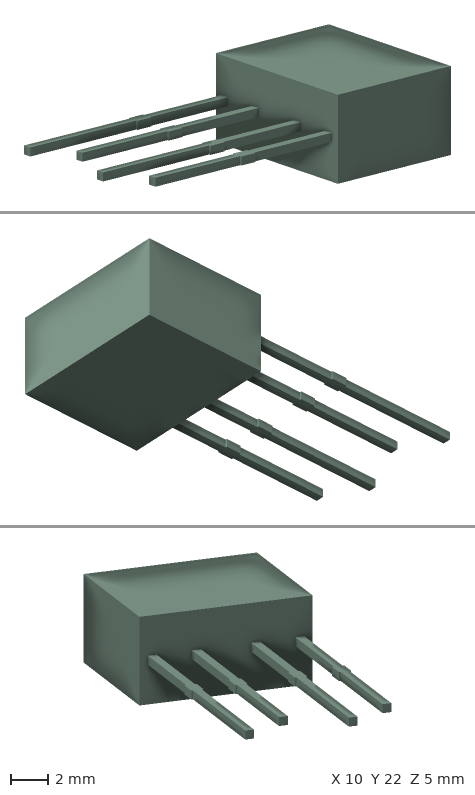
import cadquery as cq

body_width = 10.0
body_depth = 8.0
body_height = 5.0

pin_size = 0.5
long_pin_length = 14.0
short_pin_length = 12.5
inner_pin_offset = 1.72
outer_pin_offset = 4.27

stop_width = 0.7
stop_length = 1.0
stop_distance = 5.5

pins = [
    (-outer_pin_offset, long_pin_length),
    (-inner_pin_offset, short_pin_length),
    (inner_pin_offset, long_pin_length),
    (outer_pin_offset, short_pin_length),
]


def forward_bar(x, start, width, length):
    """Bar of pin thickness running toward -Y, starting a given distance ahead of the body."""
    bar = cq.Workplane("XY").box(width, length, pin_size)
    return bar.translate((x, -start - length / 2, 0))


result = cq.Workplane("XY").box(body_width, body_depth, body_height).translate((0, body_depth / 2, 0))

for pin_x, pin_length in pins:
    pin = forward_bar(pin_x, 0, pin_size, pin_length)
    stop = forward_bar(pin_x, stop_distance, stop_width, stop_length)
    result = result.union(pin).union(stop)